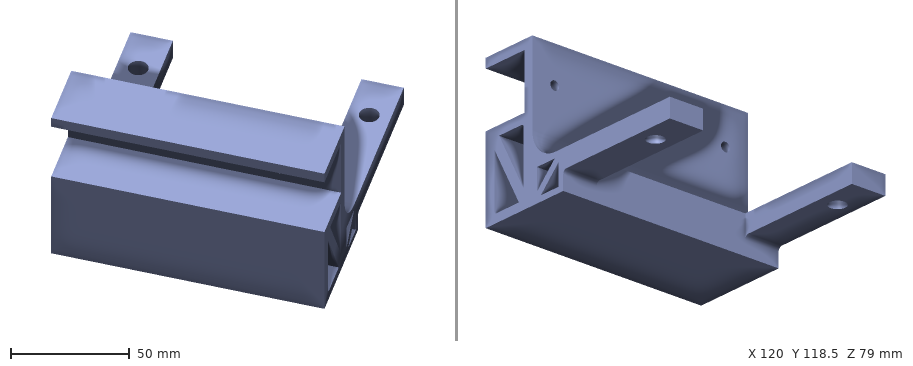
import cadquery as cq

width = 120.0
depth = 118.5
height = 79.0

beam_depth = 30.0
beam_height = 44.9
wall = 5.0

block_depth = 19.9
arm_top = 19.9
arm_thickness = 10.1
arm_width = 18.6
top_fillet = 15.0
under_fillet = 2.0

beam_pocket_side_wall = 5.5
beam_pocket_floor = 4.5
beam_pocket_leg_y = 15.8
beam_pocket_leg_z = 30.0
beam_pocket_fillet = 1.5
block_pocket_wall = 3.0
block_pocket_leg = 11.4

wall_hole_diameter = 4.8
wall_hole_spacing = 95.0
wall_hole_z = 59.4
arm_hole_diameter = 8.8
arm_hole_end_distance = 20.0

block_back = beam_depth + block_depth
arm_bottom = arm_top - arm_thickness
arm_length = depth - block_back
wall_front = beam_depth - wall
arm_hole_x = (width - arm_width) / 2


def extrude_across(points, length=width):
    """Extrude a closed (Y, Z) outline along X, centred on X = 0."""
    return cq.Workplane("YZ").polyline(points).close().extrude(length / 2, both=True)


def make_body():
    """Constant profile with its two concave fillets, before the arms are separated."""
    body = extrude_across([
        (0, 0),
        (block_back, 0),
        (block_back, arm_bottom),
        (depth, arm_bottom),
        (depth, arm_top),
        (beam_depth, arm_top),
        (beam_depth, height),
        (0, height),
        (0, height - wall),
        (wall_front, height - wall),
        (wall_front, beam_height),
        (0, beam_height),
    ])
    upper_corner = cq.selectors.NearestToPointSelector((0, beam_depth, arm_top))
    body = body.edges(upper_corner).fillet(top_fillet)
    lower_corner = cq.selectors.NearestToPointSelector((0, block_back, arm_bottom))
    return body.edges(lower_corner).fillet(under_fillet)


def triangular_pocket(corner_y, corner_z, leg_y, leg_z, fillet=0):
    """Right-angled through pocket; signed legs run from its square corner."""
    pocket = extrude_across([
        (corner_y, corner_z),
        (corner_y + leg_y, corner_z),
        (corner_y, corner_z + leg_z),
    ])
    if fillet:
        square_corner = cq.selectors.NearestToPointSelector((0, corner_y, corner_z))
        pocket = pocket.edges(square_corner).fillet(fillet)
    return pocket


def cut_pockets(body):
    """Lighten the beam and the rear block with two pockets each."""
    beam_front = beam_pocket_side_wall
    beam_rear = beam_depth - beam_pocket_side_wall
    beam_roof = beam_height - wall
    beam_legs = (beam_pocket_leg_y, beam_pocket_leg_z)
    body = body.cut(triangular_pocket(beam_front, beam_pocket_floor, *beam_legs, beam_pocket_fillet))
    body = body.cut(
        triangular_pocket(beam_rear, beam_roof, -beam_legs[0], -beam_legs[1], beam_pocket_fillet)
    )

    block_front = beam_depth + block_pocket_wall
    block_rear = block_back - block_pocket_wall
    block_roof = arm_top - block_pocket_wall
    leg = block_pocket_leg
    body = body.cut(triangular_pocket(block_front, block_roof, leg, -leg))
    return body.cut(triangular_pocket(block_rear, block_pocket_wall, -leg, leg))


def cut_arm_gap(body):
    """Remove the material between the two arms, behind the block."""
    gap = cq.Workplane("XY").box(
        width - 2 * arm_width, arm_length, arm_top, centered=(True, False, False)
    )
    return body.cut(gap.translate((0, block_back, 0)))


def cut_holes(body):
    """Drill the upright wall along Y and the arms along Z."""
    for side in (-1, 1):
        wall_hole = (
            cq.Workplane("XZ", origin=(0, beam_depth, 0))
            .center(side * wall_hole_spacing / 2, wall_hole_z)
            .circle(wall_hole_diameter / 2)
            .extrude(wall)
        )
        arm_hole = (
            cq.Workplane("XY", origin=(0, 0, arm_bottom))
            .center(side * arm_hole_x, depth - arm_hole_end_distance)
            .circle(arm_hole_diameter / 2)
            .extrude(arm_thickness)
        )
        body = body.cut(wall_hole).cut(arm_hole)
    return body


result = cut_holes(cut_arm_gap(cut_pockets(make_body())))